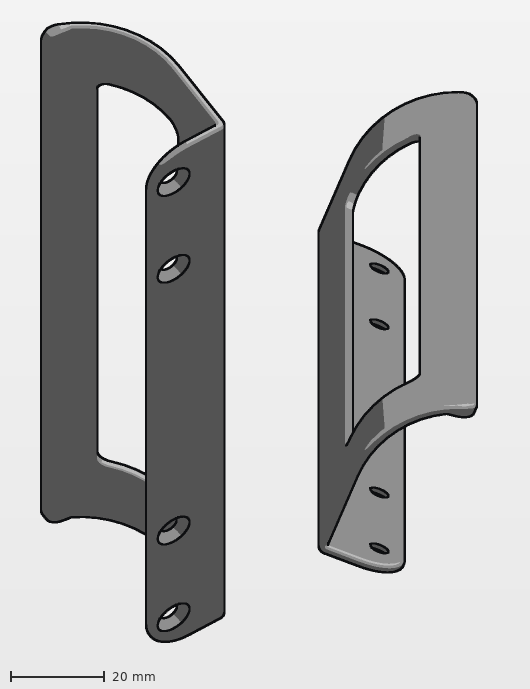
import cadquery as cq
import math

length = 180.0
width = 43.0
depth = 20.0

sheet = 2.0
bend_radius = 25.0
bend_width = 24.0
outer_corner_radius = 2.0
inner_corner_radius = 0.2

lip_tip_thickness = 2.9
lip_root_thickness = 3.6
lip_blend_radius = 0.5
lip_corner_radius = 4.0

flange_corner_radius = 10.0
hole_diameter = 4.1
countersink_half_angle = 45
hole_from_tip = 6.1
inner_hole_height = 48.0
outer_hole_height = 80.0

slot_start = 6.7
slot_end = 26.1
slot_length = 140.4
slot_corner_radius = 2.9

edge_round = 0.81
slot_edge_round = 0.5

length_tolerance = 0.02

left, right = -width / 2, width / 2
front, back = -depth / 2, depth / 2
top = length / 2
bend_x = left + bend_width
bend_y = back - bend_radius
inner_radius = bend_radius - sheet


def on_arc(radius, x):
    """Point of the bend at the given X on a circle about the bend axis."""
    return x, bend_y + math.sqrt(radius**2 - (bend_x - x) ** 2)


def polar(radius, angle):
    """Point of the bend at an angle from +Y toward -X, about the bend axis."""
    return bend_x - radius * math.sin(angle), bend_y + radius * math.cos(angle)


def arc_middle(radius, x):
    """Point halfway along the arc from the bend's end to the given X."""
    return polar(radius, math.asin((bend_x - x) / radius) / 2)


def long_edges_at(body, *points):
    """The edges along Z that pass closest to the given XY points at mid height."""
    edges = [body.edges(cq.selectors.NearestToPointSelector((x, y, 0))).val() for x, y in points]
    return body.newObject(edges)


def sheet_section():
    """The bent sheet with its lip and flange, with square ends."""
    lip_root_x = left + lip_root_thickness
    lip_outer_end = on_arc(bend_radius, left)
    lip_inner_end = on_arc(inner_radius, lip_root_x)
    body = (
        cq.Workplane("XY", origin=(0, 0, -top))
        .moveTo(left, front)
        .lineTo(*lip_outer_end)
        .threePointArc(arc_middle(bend_radius, left), (bend_x, back))
        .lineTo(right, back)
        .lineTo(right, front)
        .lineTo(right - sheet, front)
        .lineTo(right - sheet, back - sheet)
        .lineTo(bend_x, back - sheet)
        .threePointArc(arc_middle(inner_radius, lip_root_x), lip_inner_end)
        .lineTo(left + lip_tip_thickness, front)
        .close()
        .extrude(length)
    )
    body = long_edges_at(body, lip_outer_end, lip_inner_end).fillet(lip_blend_radius)
    body = long_edges_at(body, (right, back)).fillet(outer_corner_radius)
    return long_edges_at(body, (right - sheet, back - sheet)).fillet(inner_corner_radius)


def side_outline(x_start, x_end, corner_radius):
    """Block with rounded front corners that limits the part between two X positions."""
    return (
        cq.Workplane("XY")
        .box(x_end - x_start, depth, length)
        .edges("|X and <Y")
        .fillet(corner_radius)
        .translate(((x_start + x_end) / 2, 0, 0))
    )


def slot_cutter():
    """Slot that follows the bend, with its left end square to the bent sheet."""
    end_angle = math.asin((bend_width - slot_start) / inner_radius)
    small, large = inner_radius - sheet, bend_radius + sheet
    slot_right = left + slot_end
    cutter = (
        cq.Workplane("XY", origin=(0, 0, -slot_length / 2))
        .moveTo(*polar(small, end_angle))
        .threePointArc(polar(small, end_angle / 2), polar(small, 0))
        .lineTo(slot_right, bend_y + small)
        .lineTo(slot_right, bend_y + large)
        .lineTo(*polar(large, 0))
        .threePointArc(polar(large, end_angle / 2), polar(large, end_angle))
        .close()
        .extrude(slot_length)
    )
    cutter = cutter.faces(">X").edges("|Y").fillet(slot_corner_radius)
    left_end = cq.selectors.NearestToPointSelector((*polar(bend_radius, end_angle), 0))
    return cutter.faces(left_end).edges("#Z").fillet(slot_corner_radius)


def flange_holes():
    """Row of holes through the flange along X, widening from its inner to its outer face."""
    heights = (-outer_hole_height, -inner_hole_height, inner_hole_height, outer_hole_height)
    return (
        cq.Workplane("YZ", origin=(right - sheet, 0, 0))
        .pushPoints([(front + hole_from_tip, z) for z in heights])
        .circle(hole_diameter / 2)
        .extrude(sheet, taper=-countersink_half_angle)
    )


def has_slot_length(edge):
    """Whether an edge is as long as the slot's straight sides."""
    return abs(edge.Length() - (slot_length - 2 * slot_corner_radius)) < length_tolerance


outline = side_outline(left, 0, lip_corner_radius).union(side_outline(0, right, flange_corner_radius))
result = sheet_section().intersect(outline)

result = result.edges("|Z and <Y").fillet(edge_round)

result = result.cut(slot_cutter())
result = result.edges("|Z").filter(has_slot_length).fillet(slot_edge_round)

result = result.cut(flange_holes())